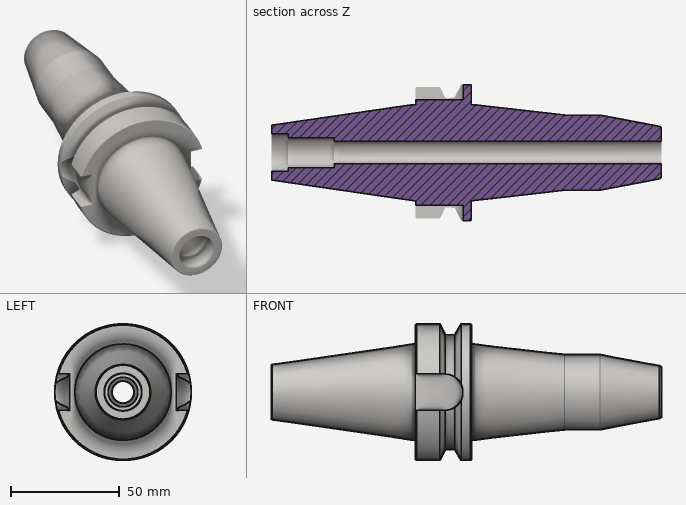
import cadquery as cq

length = 179.8

taper_small_d = 25.5
taper_large_d = 44.5
taper_end_x = 65.1
end_chamfer = 0.4

flange_d = 63.0
flange_start_x = 66.4
flange_end_x = 92.3
flange_chamfer = 0.5
groove_d = 53.0
groove_start_x = 77.7
groove_floor_start_x = 80.2
groove_floor_end_x = 84.5
groove_end_x = 87.4

keyway_width = 16.7
keyway_end_x = 88.3
keyway_floor_y = 24.5

neck_start_x = 93.3
nose_d = 34.9
nose_start_x = 135.0
nose_taper_x = 151.2
tip_d = 24.5
tip_chamfer_length = 1.0
tip_chamfer_depth = 0.7

mouth_d = 17.5
mouth_depth = 0.4
socket_d = 17.0
socket_depth = 7.7
step_d = 13.7
step_depth = 28.8
through_d = 10.0


def make_body():
    """Revolve the outer profile about X."""
    flange_r = flange_d / 2
    tip_r = tip_d / 2
    profile = [
        (0, 0),
        (0, taper_small_d / 2 - end_chamfer),
        (end_chamfer, taper_small_d / 2),
        (taper_end_x, taper_large_d / 2),
        (flange_start_x, taper_large_d / 2),
        (flange_start_x, flange_r - flange_chamfer),
        (flange_start_x + flange_chamfer, flange_r),
        (groove_start_x, flange_r),
        (groove_floor_start_x, groove_d / 2),
        (groove_floor_end_x, groove_d / 2),
        (groove_end_x, flange_r),
        (flange_end_x - flange_chamfer, flange_r),
        (flange_end_x, flange_r - flange_chamfer),
        (flange_end_x, taper_large_d / 2),
        (neck_start_x, taper_large_d / 2),
        (nose_start_x, nose_d / 2),
        (nose_taper_x, nose_d / 2),
        (length - tip_chamfer_length, tip_r),
        (length, tip_r - tip_chamfer_depth),
        (length, 0),
    ]
    return cq.Workplane("XY").polyline(profile).close().revolve(360, (0, 0, 0), (1, 0, 0))


def make_bore(diameter, depth):
    """Cylinder along X, starting at the drive end."""
    return cq.Workplane("YZ").circle(diameter / 2).extrude(depth)


def make_keyway():
    """Round-ended slot on the +Y side, open toward the drive taper."""
    radius = keyway_width / 2
    arc_x = keyway_end_x - radius
    depth = flange_d / 2 - keyway_floor_y
    return (
        cq.Workplane("XZ", origin=(0, keyway_floor_y, 0))
        .moveTo(flange_start_x, -radius)
        .lineTo(arc_x, -radius)
        .threePointArc((keyway_end_x, 0), (arc_x, radius))
        .lineTo(flange_start_x, radius)
        .close()
        .extrude(-depth)
    )


result = make_body()

for diameter, depth in (
    (mouth_d, mouth_depth),
    (socket_d, socket_depth),
    (step_d, step_depth),
    (through_d, length),
):
    result = result.cut(make_bore(diameter, depth))

keyway = make_keyway()
result = result.cut(keyway).cut(keyway.mirror("XZ"))